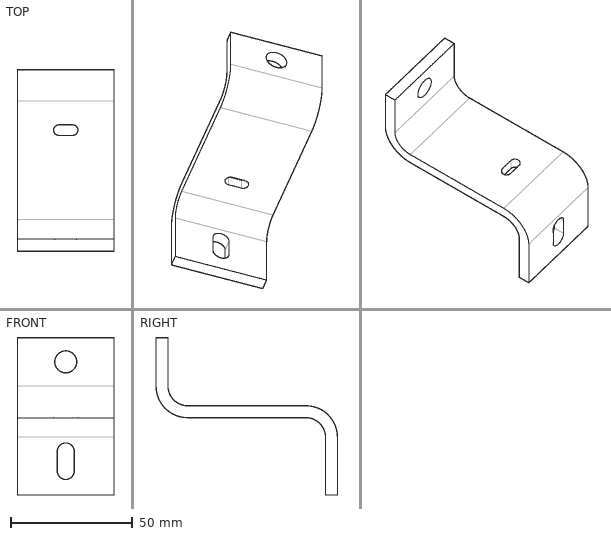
import cadquery as cq

width = 40.0
length = 75.0
height = 65.0

thickness = 5.0
inner_radius = 8.0
outer_radius = inner_radius + thickness
upper_flange = 20.0

hole_diameter = 9.0
hole_drop = 10.0
flange_slot_length = 15.0
flange_slot_width = 7.0
flange_slot_rise = 14.0
web_slot_length = 10.0
web_slot_width = 4.3
web_slot_inset = 25.0

front = -length / 2
back = length / 2
upper_bend_z = height - upper_flange
web_top = upper_bend_z - inner_radius
web_bottom = web_top - thickness
lower_bend_z = web_bottom - inner_radius
diagonal = 0.5 ** 0.5


def bend_middle(centre_y, centre_z, radius, side):
    """Middle point of a bend arc; side +1 is up and to the back, -1 down and to the front."""
    offset = side * radius * diagonal
    return (centre_y + offset, centre_z + offset)


def bent_plate():
    """Z-shaped side profile swept across the width."""
    front_bend_y = front + outer_radius
    back_bend_y = back - outer_radius
    return (
        cq.Workplane("YZ")
        .moveTo(front, height)
        .lineTo(front, upper_bend_z)
        .threePointArc(
            bend_middle(front_bend_y, upper_bend_z, outer_radius, -1),
            (front_bend_y, web_bottom),
        )
        .lineTo(back_bend_y, web_bottom)
        .threePointArc(
            bend_middle(back_bend_y, lower_bend_z, inner_radius, 1),
            (back - thickness, lower_bend_z),
        )
        .lineTo(back - thickness, 0)
        .lineTo(back, 0)
        .lineTo(back, lower_bend_z)
        .threePointArc(
            bend_middle(back_bend_y, lower_bend_z, outer_radius, 1),
            (back_bend_y, web_top),
        )
        .lineTo(front_bend_y, web_top)
        .threePointArc(
            bend_middle(front_bend_y, upper_bend_z, inner_radius, -1),
            (front + thickness, upper_bend_z),
        )
        .lineTo(front + thickness, height)
        .close()
        .extrude(width / 2, both=True)
    )


def upper_flange_hole():
    """Round hole through the upper flange."""
    return (
        cq.Workplane("XZ")
        .center(0, height - hole_drop)
        .circle(hole_diameter / 2)
        .extrude(length, both=True)
    )


def lower_flange_slot():
    """Upright slot through the lower flange."""
    return (
        cq.Workplane("XZ")
        .center(0, flange_slot_rise)
        .slot2D(flange_slot_length, flange_slot_width, 90)
        .extrude(length, both=True)
    )


def web_slot():
    """Slot across the width through the horizontal web."""
    return (
        cq.Workplane("XY")
        .center(0, back - web_slot_inset)
        .slot2D(web_slot_length, web_slot_width)
        .extrude(height)
    )


result = bent_plate().cut(upper_flange_hole()).cut(lower_flange_slot()).cut(web_slot())